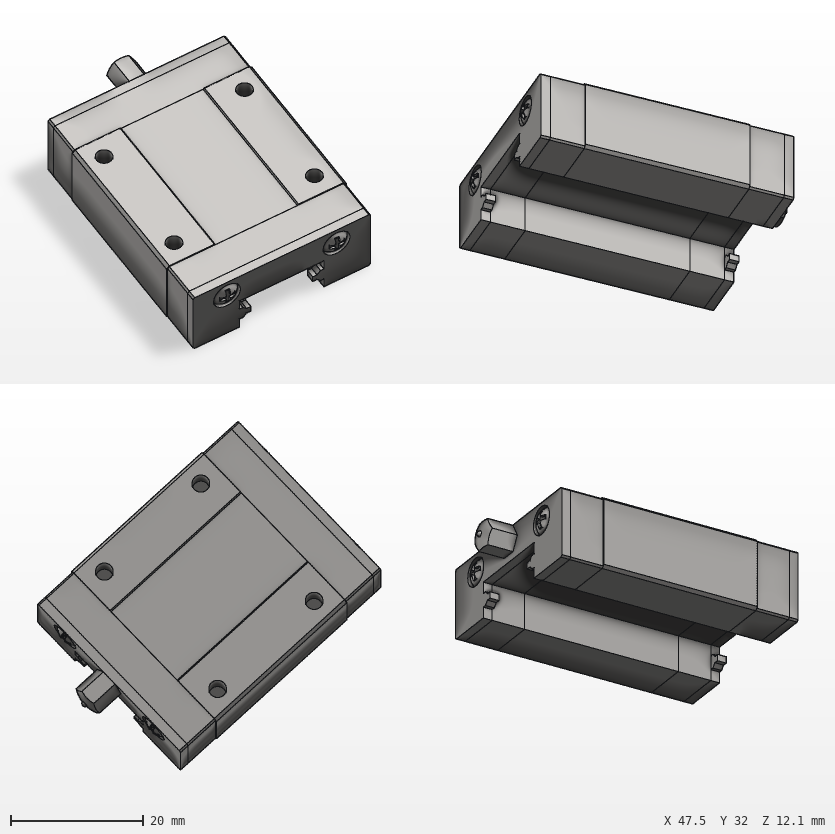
import cadquery as cq
import math


channel_half_width = 7.5
channel_height = 6.1

block_length = 27.0
block_width = 32.0
block_height = 12.1
block_chamfer = 0.5
pad_depth = 0.2
pad_half_width = channel_half_width - pad_depth

hole_diameter = 2.67
hole_depth = 4.0
hole_spacing_x = 20.0
hole_spacing_y = 25.0

end_width = 31.6
end_height = block_height - pad_depth
end_chamfer = 0.3
cap_length = 5.7
seal_thickness = 1.55
seal_inner_x = block_length / 2 + cap_length
seal_outer_x = seal_inner_x + seal_thickness

lip_center_height = 3.03
lip_root_half_height = 1.18
lip_tip_half_height = 0.55
lip_shoulder_y = 6.9
lip_neck_y = lip_shoulder_y - (lip_root_half_height - lip_tip_half_height)
lip_tip_y = 5.5

screw_diameter = 4.75
screw_y = 9.75
screw_z = 8.85
screw_seat_depth = 0.78
dome_radius = 2.8
dome_height = dome_radius - math.sqrt(dome_radius**2 - (screw_diameter / 2) ** 2)
cross_length = 2.7
cross_width = 0.75

nipple_across_flats = 4.5
nipple_corner_radius = nipple_across_flats / math.sqrt(3)
nipple_z = 9.6
nipple_length = 5.1
nose_radius = 5.2
nose_height = nose_radius - math.sqrt(nose_radius**2 - nipple_corner_radius**2)
ball_center_depth = 0.1
ball_radius = 0.5


def channel_bar(width, height, chamfer, start_x, length):
    """Bar along X with chamfered long edges and the rail channel cut from below."""
    bar = (
        cq.Workplane("YZ", origin=(start_x, 0, 0))
        .center(0, height / 2)
        .rect(width, height)
        .extrude(length)
        .edges("|X")
        .chamfer(chamfer)
    )
    channel = (
        cq.Workplane("YZ", origin=(start_x, 0, 0))
        .center(0, channel_height / 2)
        .rect(2 * channel_half_width, channel_height)
        .extrude(length)
    )
    return bar.cut(channel)


def make_block():
    block = channel_bar(block_width, block_height, block_chamfer, -block_length / 2, block_length)
    pad_recess = (
        cq.Workplane("YZ", origin=(-block_length / 2, 0, 0))
        .moveTo(-channel_half_width, block_height)
        .lineTo(-pad_half_width, block_height - pad_depth)
        .lineTo(pad_half_width, block_height - pad_depth)
        .lineTo(channel_half_width, block_height)
        .close()
        .extrude(block_length)
    )
    holes = (
        cq.Workplane("XY", origin=(0, 0, block_height))
        .rarray(hole_spacing_x, hole_spacing_y, 2, 2)
        .circle(hole_diameter / 2)
        .extrude(-hole_depth)
    )
    return block.cut(pad_recess).cut(holes)


def make_cap(side):
    cap = channel_bar(end_width, end_height, end_chamfer, block_length / 2, cap_length)
    return cap if side > 0 else cap.mirror("YZ")


def lip(y_side):
    """Stepped lip on one side wall of the channel."""
    upper = [
        (channel_half_width, lip_root_half_height),
        (lip_shoulder_y, lip_root_half_height),
        (lip_neck_y, lip_tip_half_height),
        (lip_tip_y, lip_tip_half_height),
    ]
    lower = [(y, -z) for y, z in reversed(upper)]
    points = [(y_side * y, lip_center_height + z) for y, z in upper + lower]
    return cq.Workplane("YZ", origin=(seal_inner_x, 0, 0)).polyline(points).close().extrude(seal_thickness)


def make_seal(side):
    seal = channel_bar(end_width, end_height, end_chamfer, seal_inner_x, seal_thickness)
    seats = (
        cq.Workplane("YZ", origin=(seal_outer_x, 0, 0))
        .pushPoints([(-screw_y, screw_z), (screw_y, screw_z)])
        .circle(screw_diameter / 2)
        .extrude(-screw_seat_depth)
    )
    seal = seal.union(lip(1)).union(lip(-1)).cut(seats)
    return seal if side > 0 else seal.mirror("YZ")


def make_screw(x_side, y_side):
    """Spherical cap head with a cross recess, built along +X and mirrored for the other end."""
    dome = (
        cq.Workplane("XY")
        .lineTo(0, screw_diameter / 2)
        .radiusArc((dome_height, 0), dome_radius)
        .close()
        .revolve(360, (0, 0, 0), (1, 0, 0))
    )
    recess = cq.Workplane("YZ", origin=(screw_seat_depth, 0, 0))
    cross = (
        recess.rect(cross_length, cross_width)
        .extrude(dome_height)
        .union(recess.rect(cross_width, cross_length).extrude(dome_height))
    )
    screw = dome.cut(cross).translate((seal_outer_x - screw_seat_depth, y_side * screw_y, screw_z))
    return screw if x_side > 0 else screw.mirror("YZ")


def make_nipple():
    """Hexagonal nipple with a domed nose and a ball tip, pointing along -X."""
    hexagon = cq.Workplane("YZ").polygon(6, 2 * nipple_corner_radius).extrude(-nipple_length)
    nose_envelope = (
        cq.Workplane("XY")
        .lineTo(0, nipple_corner_radius)
        .lineTo(nose_height - nipple_length, nipple_corner_radius)
        .radiusArc((-nipple_length, 0), -nose_radius)
        .close()
        .revolve(360, (0, 0, 0), (1, 0, 0))
    )
    ball = cq.Workplane("XY").sphere(ball_radius).translate((ball_center_depth - nipple_length, 0, 0))
    nipple = hexagon.intersect(nose_envelope).union(ball)
    return nipple.translate((-seal_outer_x, 0, nipple_z))


ends = (-1, 1)
block = make_block()
caps = [make_cap(side) for side in ends]
seals = [make_seal(side) for side in ends]
screws = [make_screw(x_side, y_side) for x_side in ends for y_side in ends]
nipple = make_nipple()

bodies = [block, *caps, *seals, *screws, nipple]
result = cq.Compound.makeCompound([body.val() for body in bodies])